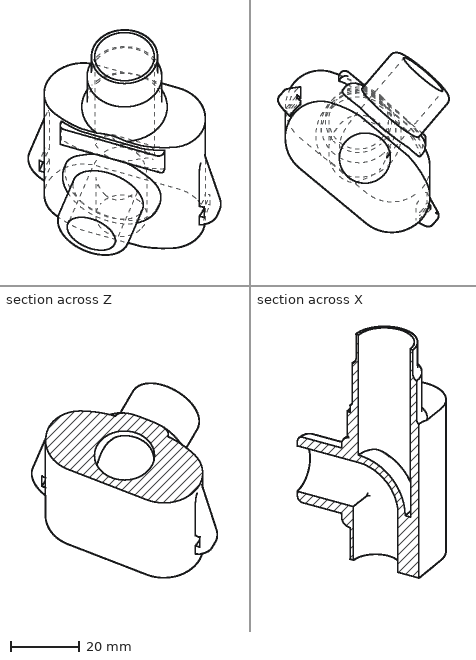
import cadquery as cq
import math

BODY_HEIGHT = 50.5
BODY_HALF_WIDTH = 24.5
BODY_HALF_DEPTH = 11.7
BACK_FLAT_HALF = BODY_HALF_WIDTH - BODY_HALF_DEPTH
FRONT_FLAT_HALF = 9.4
FRONT_SIDE_MID = (22.6, -5.75)
FRONT_SIDE_END = (18.45, -9.15)
FRONT_SHALLOW_MID = (14.0, -10.75)

TOTAL_HEIGHT = 75.59
SPOUT_RADIUS = 22.0 / 2
SPOUT_TIP_RADIUS = 19.5 / 2
SPOUT_BORE_RADIUS = 17.5 / 2
FLARE_HEIGHT = 2.1
FLARE_FOOT_RADIUS = 12.55
FLARE_RIM = (11.6, BODY_HEIGHT + 0.95)
FLARE_CURVE_MID = (11.15, BODY_HEIGHT + 1.5)
SHOULDER_BOTTOM = 65.6
SHOULDER_TOP = 67.4
SHOULDER_MID = (10.1, 66.3)

PORT_Z = 25.5
PORT_RADIUS = 22.0 / 2
PORT_BORE_RADIUS = 15.0 / 2
OVERALL_DEPTH = 41.3
PORT_TIP_Y = BODY_HALF_DEPTH - OVERALL_DEPTH
PORT_TIP_FILLET = 1.95
COLLAR_RADIUS = 15.0
COLLAR_HEIGHT = 2.95
COLLAR_FILLET = 2.9

BEND_Y = -8.8
BEND_Z = 19.7
BEND_RADIUS = PORT_Z - BEND_Z

HUMP_BACK_Y = 7.1
HUMP_RADIUS = HUMP_BACK_Y - BEND_Y
HUMP_CREST_HALF_WIDTH = 5.1
HUMP_HALF_WIDTH = SPOUT_BORE_RADIUS
HUMP_SIDE_FILLET = HUMP_HALF_WIDTH - HUMP_CREST_HALF_WIDTH

PLATE_HALF_WIDTH = 16.1
PLATE_BOTTOM = 40.0
PLATE_TOP = 49.1
PLATE_FRONT_Y = -12.7
PLATE_FILLET = 1.65

WING_THICKNESS = 5.0
WING_TOP_Z = 35.4
OVERALL_WIDTH = 59.1
WING_TIP_X = OVERALL_WIDTH / 2
WING_ARC_RADIUS = 9.5
WING_ARC_Z = 13.2
WING_FILLET = 1.4
WING_ROOT_X = 22.5
SLOT_OUTER_X = 25.65
SLOT_BOTTOM = 10.0
SLOT_TOP = 15.0


def body_prism(height):
    """Upright prism with the body outline, standing on Z = 0."""
    left_end = cq.Workplane("XY").moveTo(-FRONT_FLAT_HALF, -BODY_HALF_DEPTH)
    right_front = (
        left_end.lineTo(FRONT_FLAT_HALF, -BODY_HALF_DEPTH)
        .threePointArc(FRONT_SHALLOW_MID, FRONT_SIDE_END)
        .threePointArc(FRONT_SIDE_MID, (BODY_HALF_WIDTH, 0))
    )
    back = (
        right_front.radiusArc((BACK_FLAT_HALF, BODY_HALF_DEPTH), -BODY_HALF_DEPTH)
        .lineTo(-BACK_FLAT_HALF, BODY_HALF_DEPTH)
        .radiusArc((-BODY_HALF_WIDTH, 0), -BODY_HALF_DEPTH)
    )
    left_front = (
        back.threePointArc((-FRONT_SIDE_MID[0], FRONT_SIDE_MID[1]),
                           (-FRONT_SIDE_END[0], FRONT_SIDE_END[1]))
        .threePointArc((-FRONT_SHALLOW_MID[0], FRONT_SHALLOW_MID[1]),
                       (-FRONT_FLAT_HALF, -BODY_HALF_DEPTH))
    )
    return left_front.close().extrude(height)


def spout():
    """Flared and stepped tube, trimmed where its foot would overhang the body outline."""
    profile = (
        cq.Workplane("XZ")
        .moveTo(0, BODY_HEIGHT)
        .lineTo(FLARE_FOOT_RADIUS, BODY_HEIGHT)
        .lineTo(*FLARE_RIM)
        .threePointArc(FLARE_CURVE_MID, (SPOUT_RADIUS, BODY_HEIGHT + FLARE_HEIGHT))
        .lineTo(SPOUT_RADIUS, SHOULDER_BOTTOM)
        .threePointArc(SHOULDER_MID, (SPOUT_TIP_RADIUS, SHOULDER_TOP))
        .lineTo(SPOUT_TIP_RADIUS, TOTAL_HEIGHT)
        .lineTo(0, TOTAL_HEIGHT)
        .close()
    )
    return profile.revolve(360, (0, 0), (0, 1)).intersect(body_prism(TOTAL_HEIGHT))


def forward_cylinder(radius, end_y):
    """Cylinder on the port axis, from the middle of the body forward to end_y."""
    return cq.Workplane("XZ").center(0, PORT_Z).circle(radius).extrude(-end_y)


def port():
    collar = forward_cylinder(COLLAR_RADIUS, -BODY_HALF_DEPTH - COLLAR_HEIGHT)
    collar = collar.faces("<Y").edges().fillet(COLLAR_FILLET)
    tube = forward_cylinder(PORT_RADIUS, PORT_TIP_Y)
    tube = tube.faces("<Y").edges().fillet(PORT_TIP_FILLET)
    return collar.union(tube)


def name_plate():
    """Plate with rounded sides and bottom and a square top edge."""
    plate = cq.Workplane("XY").box(
        2 * PLATE_HALF_WIDTH, -PLATE_FRONT_Y, PLATE_TOP - PLATE_BOTTOM, centered=(True, False, False)
    )
    plate = plate.translate((0, PLATE_FRONT_Y, PLATE_BOTTOM))
    return plate.faces("<Y").edges("|Z or <Z").fillet(PLATE_FILLET)


def wing():
    """Slotted wing on the +X side: a round lower end and a straight edge slanting up to the body."""
    center_x = WING_TIP_X - WING_ARC_RADIUS
    rise = WING_TOP_Z - WING_ARC_Z
    run = BODY_HALF_WIDTH - center_x
    angle = math.atan2(rise, run) - math.acos(WING_ARC_RADIUS / math.hypot(rise, run))
    tangent_x = center_x + WING_ARC_RADIUS * math.cos(angle)
    tangent_z = WING_ARC_Z + WING_ARC_RADIUS * math.sin(angle)
    root_top_z = WING_TOP_Z + (BODY_HALF_WIDTH - WING_ROOT_X) / math.tan(angle)
    plate = (
        cq.Workplane("XZ")
        .moveTo(center_x, WING_ARC_Z - WING_ARC_RADIUS)
        .threePointArc((WING_TIP_X, WING_ARC_Z), (tangent_x, tangent_z))
        .lineTo(WING_ROOT_X, root_top_z)
        .close()
        .extrude(WING_THICKNESS / 2, both=True)
    )
    rim = cq.selectors.BoxSelector(
        (WING_ROOT_X, -WING_THICKNESS, 0), (WING_TIP_X, WING_THICKNESS, BODY_HEIGHT)
    )
    plate = plate.faces("|Y").edges(rim).fillet(WING_FILLET)
    slot = cq.Workplane("XY").box(
        SLOT_OUTER_X - center_x, WING_THICKNESS, SLOT_TOP - SLOT_BOTTOM, centered=(False, True, False)
    )
    return plate.cut(slot.translate((center_x, 0, SLOT_BOTTOM)))


def hump():
    """Block with a quarter-round back and rounded sides, filling the lower part of the spout bore."""
    block = (
        cq.Workplane("YZ")
        .moveTo(BEND_Y - HUMP_RADIUS, 0)
        .lineTo(BEND_Y - HUMP_RADIUS, BEND_Z + HUMP_RADIUS)
        .lineTo(BEND_Y, BEND_Z + HUMP_RADIUS)
        .radiusArc((HUMP_BACK_Y, BEND_Z), HUMP_RADIUS)
        .lineTo(HUMP_BACK_Y, 0)
        .close()
        .extrude(HUMP_HALF_WIDTH, both=True)
    )
    crest = block.faces(">Z").edges("|Y")
    return crest.fillet(HUMP_SIDE_FILLET)


def spout_bore():
    """Bore from the spout tip down to the level of the bend axis, less the hump."""
    bore = (
        cq.Workplane("XY").workplane(offset=BEND_Z)
        .circle(SPOUT_BORE_RADIUS).extrude(TOTAL_HEIGHT - BEND_Z)
    )
    return bore.cut(hump())


def port_bore():
    """Bore entering along the port, bending through 90 degrees and going out at the bottom."""
    entry = (
        cq.Workplane("XZ", origin=(0, BEND_Y, PORT_Z))
        .circle(PORT_BORE_RADIUS).extrude(BEND_Y - PORT_TIP_Y)
    )
    chord_half = math.sqrt(PORT_BORE_RADIUS ** 2 - BEND_RADIUS ** 2)
    bend = (
        cq.Workplane("XZ", origin=(0, BEND_Y, BEND_Z))
        .moveTo(-chord_half, 0)
        .threePointArc((0, BEND_RADIUS + PORT_BORE_RADIUS), (chord_half, 0))
        .close()
        .revolve(90, (0, 0), (-1, 0))
    )
    exit_leg = (
        cq.Workplane("XY", origin=(0, BEND_Y + BEND_RADIUS, 0))
        .circle(PORT_BORE_RADIUS).extrude(BEND_Z)
    )
    return entry.union(bend).union(exit_leg)


right_wing = wing()
left_wing = right_wing.mirror("YZ")

result = (
    body_prism(BODY_HEIGHT)
    .union(spout())
    .union(port())
    .union(name_plate())
    .union(right_wing)
    .union(left_wing)
    .cut(spout_bore())
    .cut(port_bore())
)